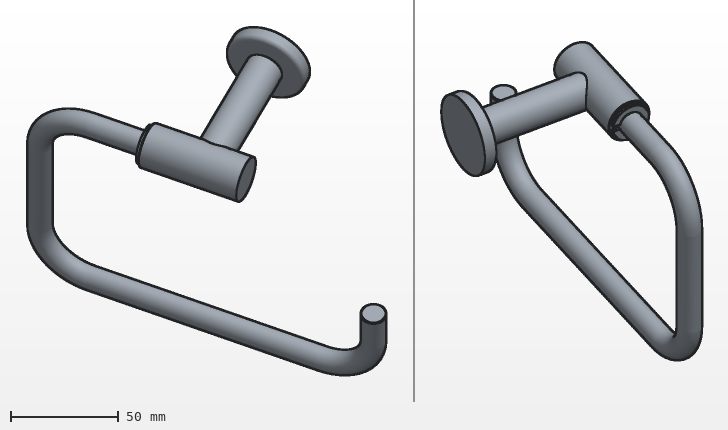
import cadquery as cq


rail_diameter = 12.0
rail_span = 182.0
bend_radius = 26.0
bottom_axis_drop = 109.7
tip_drop = 64.6
tip_chamfer = 0.4

sleeve_diameter = 22.0
sleeve_length = 50.0
sleeve_chamfer = 0.4
sleeve_right_x = 20.0
sleeve_left_x = sleeve_right_x - sleeve_length

flange_diameter = 19.3
flange_thickness = 1.6
bushing_diameter = 14.2
bushing_length = 20.0
slot_width = 2.7
socket_end_x = sleeve_left_x + bushing_length

post_diameter = 18.0
rose_diameter = 40.0
rose_thickness = 7.1
rose_fillet = 2.2
overall_depth = 82.8
wall_y = overall_depth - sleeve_diameter / 2
rose_front_y = wall_y - rose_thickness


def x_cylinder(diameter, start_x, end_x):
    """Cylinder on the sleeve axis between two X positions."""
    return cq.Workplane("YZ", origin=(start_x, 0, 0)).circle(diameter / 2).extrude(end_x - start_x)


def y_cylinder(diameter, start_y, end_y):
    """Cylinder on the post axis between two Y positions."""
    return cq.Workplane("XZ", origin=(0, start_y, 0)).circle(diameter / 2).extrude(start_y - end_y)


def make_rail():
    """Open hook: top run, left side, bottom run and upturned free end."""
    side_x = (rail_span - rail_diameter) / 2
    bend_offset = bend_radius * (1 - 0.5 ** 0.5)
    bottom_z = -bottom_axis_drop
    path = (
        cq.Workplane("XZ")
        .moveTo(socket_end_x, 0)
        .lineTo(-side_x + bend_radius, 0)
        .threePointArc((-side_x + bend_offset, -bend_offset), (-side_x, -bend_radius))
        .lineTo(-side_x, bottom_z + bend_radius)
        .threePointArc((-side_x + bend_offset, bottom_z + bend_offset), (-side_x + bend_radius, bottom_z))
        .lineTo(side_x - bend_radius, bottom_z)
        .threePointArc((side_x - bend_offset, bottom_z + bend_offset), (side_x, bottom_z + bend_radius))
        .lineTo(side_x, -tip_drop)
    )
    bar = cq.Workplane("YZ", origin=(socket_end_x, 0, 0)).circle(rail_diameter / 2).sweep(path)
    tip_point = (side_x, 0, -tip_drop)
    return bar.faces(cq.selectors.NearestToPointSelector(tip_point)).chamfer(tip_chamfer)


def make_sleeve():
    """Round sleeve with a chamfered rim and a blind socket in its left end."""
    socket = x_cylinder(bushing_diameter, sleeve_left_x, socket_end_x)
    body = x_cylinder(sleeve_diameter, sleeve_left_x, sleeve_right_x)
    return body.faces("<X").chamfer(sleeve_chamfer).cut(socket)


def make_bushing():
    """Flanged bushing with a slot along its full length on the +Y side."""
    flange_x = sleeve_left_x - flange_thickness
    flange = x_cylinder(flange_diameter, flange_x, sleeve_left_x)
    tube = x_cylinder(bushing_diameter, sleeve_left_x, socket_end_x)
    bore = x_cylinder(rail_diameter, flange_x, socket_end_x)
    slot = cq.Workplane("XY", origin=(flange_x, 0, 0)).box(
        flange_thickness + bushing_length, flange_diameter, slot_width, centered=(False, False, True)
    )
    return flange.union(tube).cut(bore).cut(slot)


def make_post():
    """Round post from the rose, its front end coped to the sleeve."""
    sleeve_envelope = x_cylinder(sleeve_diameter, sleeve_left_x, sleeve_right_x)
    return y_cylinder(post_diameter, 0, rose_front_y).cut(sleeve_envelope)


def make_rose():
    """Wall disc with a rounded front rim."""
    return y_cylinder(rose_diameter, rose_front_y, wall_y).faces("<Y").edges().fillet(rose_fillet)


rail = make_rail()
sleeve = make_sleeve()
bushing = make_bushing()
post = make_post()
rose = make_rose()

bodies = [rail, sleeve, bushing, post, rose]
result = cq.Compound.makeCompound([body.solids().val() for body in bodies])